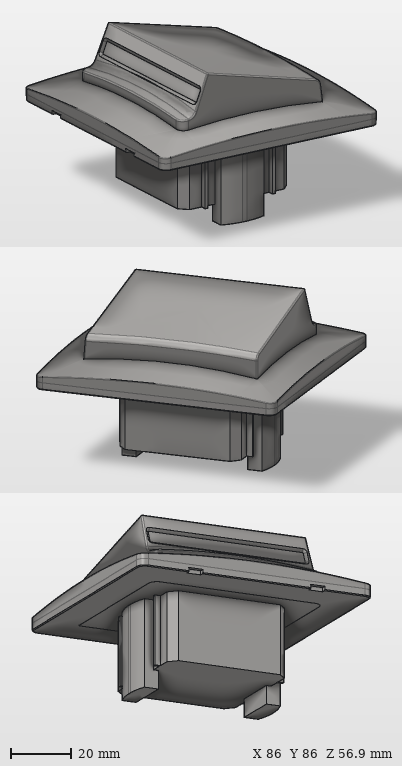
import cadquery as cq
import math


FRAME_SIDE = 86.0
FRAME_CORNER_RADIUS = 3.0
FRAME_CORNER_HEIGHT = 4.3
FRAME_EDGE_HEIGHT = 6.8
FRAME_CROWN_HEIGHT = 11.95
PARTING_HEIGHT = 2.6
RIM_TAPER = 1.0
RIM_CHAMFER = 0.35
RIM_TOP_FILLET = 0.3

NOTCH_HEIGHT = 1.5
NOTCH_DEPTH = 1.7

ROCKER_WIDTH = 62.95
FRONT_Y = -28.3
REAR_Y = 29.0
SIDE_DRAFT = 2.4
REAR_DRAFT = 6.0
RIDGE_Y = -17.3
RIDGE_HEIGHT = 26.2
TOP_ANGLE = 12.2
REAR_CROWN_DROP = 1.2
FRONT_ANGLE = 22.0
REAR_ROUND = 2.6
EDGE_FILLET = 0.5

LIP_HEIGHT = 13.0
LIP_BOW = 1.9
LIP_SLOPE = 0.14
LIP_CORNER_RADIUS = 3.0
COVE_RADIUS = 3.4

RECESS_WIDTH = 59.3
RECESS_TOP = 21.5
RECESS_BOTTOM = 15.4
RECESS_CORNER_RADIUS = 1.4
RECESS_DEPTH = 0.9
RECESS_WALL_TAPER = 50.0

BLOCK_SIDE = 43.4
BLOCK_CORNER_CHAMFER = 2.9
BLOCK_DEPTH = 24.3
RIB_REACH = 23.8
RIB_INNER_Y = 12.8
RIB_THICKNESS = 1.1
LEG_INNER_X = 19.95
LEG_OUTER_X = 26.5
LEG_WIDTH = 17.1
LEG_FLAT_WIDTH = 1.8
LEG_DEPTH = 30.8

HALF_SIDE = FRAME_SIDE / 2
HALF_WIDTH = ROCKER_WIDTH / 2
LEG_RADIUS = math.hypot(LEG_OUTER_X, LEG_FLAT_WIDTH / 2)
LEG_FACE_X = math.sqrt(LEG_RADIUS**2 - (LEG_WIDTH / 2) ** 2)

SURFACE_REACH = HALF_SIDE + 0.9
SURFACE_STEPS = 8
SURFACE_DROP = 51.6


def frame_height(x, y):
    """Dome with a parabola in every section along X or Y."""
    fall = FRAME_CROWN_HEIGHT - FRAME_EDGE_HEIGHT
    corner_lift = FRAME_CORNER_HEIGHT - FRAME_CROWN_HEIGHT + 2 * fall
    u = (x / HALF_SIDE) ** 2
    v = (y / HALF_SIDE) ** 2
    return FRAME_CROWN_HEIGHT - fall * (u + v) + corner_lift * u * v


def key_top_height(x, y):
    """Slope that is straight along the ridge and bowed at the rear."""
    run = y - RIDGE_Y
    bow = REAR_CROWN_DROP * (x / HALF_WIDTH) ** 2 * run / (REAR_Y - RIDGE_Y)
    return RIDGE_HEIGHT - run * math.tan(math.radians(TOP_ANGLE)) - bow


def lip_height(x, y):
    """Lip top, bowed along X and falling toward the front."""
    return LIP_HEIGHT + LIP_SLOPE * (y - FRONT_Y) - LIP_BOW * (x / HALF_WIDTH) ** 2


def space_below(height):
    """Solid that fills the space under a surface z = height(x, y)."""
    steps = [SURFACE_REACH * (2 * i / SURFACE_STEPS - 1) for i in range(SURFACE_STEPS + 1)]
    grid = [[cq.Vector(x, y, height(x, y)) for y in steps] for x in steps]
    surface = cq.Face.makeSplineApprox(grid, tol=0.001)
    return cq.Workplane(obj=cq.Solid.extrudeLinear(surface, cq.Vector(0, 0, -SURFACE_DROP)))


def edges_within(body, low_corner, high_corner):
    """Edges whose middle lies in a box."""
    return body.edges(cq.selectors.BoxSelector(low_corner, high_corner))


def make_frame(insert):
    """Domed square frame with the rocker's opening and two notches under its front rim."""
    upper_rim = (
        cq.Workplane("XY", origin=(0, 0, PARTING_HEIGHT))
        .rect(FRAME_SIDE, FRAME_SIDE)
        .extrude(FRAME_CROWN_HEIGHT)
        .edges("|Z")
        .fillet(FRAME_CORNER_RADIUS)
        .intersect(space_below(frame_height))
        .faces(">Z")
        .edges()
        .fillet(RIM_TOP_FILLET)
    )
    frame = (
        upper_rim.faces("<Z")
        .wires()
        .toPending()
        .workplane()
        .extrude(PARTING_HEIGHT, taper=RIM_TAPER)
        .faces("<Z")
        .chamfer(RIM_CHAMFER)
    )
    for side in (-1, 1):
        notch = cq.Workplane("XY").box(LEG_FACE_X - LEG_INNER_X, 2 * NOTCH_DEPTH, 2 * NOTCH_HEIGHT)
        notch_x = side * (LEG_FACE_X + LEG_INNER_X) / 2
        frame = frame.cut(notch.translate((notch_x, -HALF_SIDE, 0)))
    return frame.cut(insert)


def make_envelope():
    """Tapered column that bounds the rocker: drafted sides and rear, upright rounded front."""
    side_lean = RIDGE_HEIGHT * math.tan(math.radians(SIDE_DRAFT))
    rear_lean = RIDGE_HEIGHT * math.tan(math.radians(REAR_DRAFT))
    return (
        cq.Workplane("XZ")
        .polyline([
            (-HALF_WIDTH, 0),
            (HALF_WIDTH, 0),
            (HALF_WIDTH - side_lean, RIDGE_HEIGHT),
            (side_lean - HALF_WIDTH, RIDGE_HEIGHT),
        ])
        .close()
        .extrude(FRAME_SIDE, both=True)
        .intersect(
            cq.Workplane("YZ")
            .polyline([
                (FRONT_Y, 0),
                (REAR_Y, 0),
                (REAR_Y - rear_lean, RIDGE_HEIGHT),
                (FRONT_Y, RIDGE_HEIGHT),
            ])
            .close()
            .extrude(FRAME_SIDE, both=True)
        )
        .faces("<Y")
        .edges("not |X")
        .fillet(LIP_CORNER_RADIUS)
    )


def make_rocker():
    """Sloping key tops over a leaning front face, with a bowed lip along its foot."""
    envelope = make_envelope()
    front_run = RIDGE_HEIGHT * math.tan(math.radians(FRONT_ANGLE))
    behind_front_face = (
        cq.Workplane("YZ")
        .polyline([
            (RIDGE_Y - front_run, 0),
            (RIDGE_Y, RIDGE_HEIGHT),
            (REAR_Y, RIDGE_HEIGHT),
            (REAR_Y, 0),
        ])
        .close()
        .extrude(FRAME_SIDE, both=True)
    )
    keys = envelope.intersect(behind_front_face).intersect(space_below(key_top_height))
    keys = keys.faces(">Y").edges(">Z").fillet(REAR_ROUND)

    lip_zone = cq.Workplane("XY").center(0, -HALF_SIDE).rect(FRAME_SIDE, FRAME_SIDE).extrude(RIDGE_HEIGHT)
    lip = envelope.intersect(lip_zone).intersect(space_below(lip_height))
    rocker = keys.union(lip)
    face_foot_y = RIDGE_Y - (RIDGE_HEIGHT - LIP_HEIGHT) * math.tan(math.radians(FRONT_ANGLE))
    inside_edge = edges_within(
        rocker,
        (-HALF_WIDTH / 2, face_foot_y - COVE_RADIUS / 2, LIP_HEIGHT - LIP_BOW),
        (HALF_WIDTH / 2, face_foot_y + COVE_RADIUS / 2, LIP_HEIGHT + LIP_BOW),
    )
    rocker = inside_edge.fillet(COVE_RADIUS)

    ridge_and_sides = edges_within(
        rocker,
        (-HALF_WIDTH, RIDGE_Y - COVE_RADIUS, LIP_HEIGHT),
        (HALF_WIDTH, RIDGE_Y + HALF_WIDTH, FRAME_SIDE),
    )
    return ridge_and_sides.fillet(EDGE_FILLET)


def make_recess():
    """Shallow round-cornered pocket, sunk square to the leaning front face with flared walls."""
    lean = math.radians(FRONT_ANGLE)
    middle_z = (RECESS_TOP + RECESS_BOTTOM) / 2
    middle_y = RIDGE_Y - (RIDGE_HEIGHT - middle_z) * math.tan(lean)
    into_face = cq.Vector(0, math.cos(lean), -math.sin(lean))
    face = cq.Plane(origin=(0, middle_y, middle_z), xDir=(1, 0, 0), normal=into_face)
    slant_height = (RECESS_TOP - RECESS_BOTTOM) / math.cos(lean)
    outline = cq.Sketch().rect(RECESS_WIDTH, slant_height).vertices().fillet(RECESS_CORNER_RADIUS)
    return cq.Workplane(face).placeSketch(outline).extrude(RECESS_DEPTH, taper=RECESS_WALL_TAPER)


def make_block():
    """Square block with cut corners and thin ribs standing out of its left and right sides."""
    block = (
        cq.Workplane("XY")
        .rect(BLOCK_SIDE, BLOCK_SIDE)
        .extrude(-BLOCK_DEPTH)
        .edges("|Z")
        .chamfer(BLOCK_CORNER_CHAMFER)
    )
    rib_y = RIB_INNER_Y + RIB_THICKNESS / 2
    for y in (-rib_y, rib_y):
        rib = cq.Workplane("XY").center(0, y).rect(2 * RIB_REACH, RIB_THICKNESS).extrude(-BLOCK_DEPTH)
        block = block.union(rib)
    return block


def make_legs():
    """Pair of legs cut from one round column, each with a flat strip down its outer side."""
    column = cq.Workplane("XY").circle(LEG_RADIUS).extrude(-LEG_DEPTH)
    span = cq.Workplane("XY").rect(2 * LEG_OUTER_X, LEG_WIDTH).extrude(-LEG_DEPTH)
    gap = cq.Workplane("XY").rect(2 * LEG_INNER_X, LEG_WIDTH).extrude(-LEG_DEPTH)
    return column.intersect(span).cut(gap)


def make_insert():
    """Rocker, block and legs as one body that fills the frame's opening."""
    rocker = make_rocker().cut(make_recess())
    return rocker.union(make_block()).union(make_legs())


insert = make_insert()
frame = make_frame(insert)

result = cq.Compound.makeCompound([frame.val(), insert.val()])